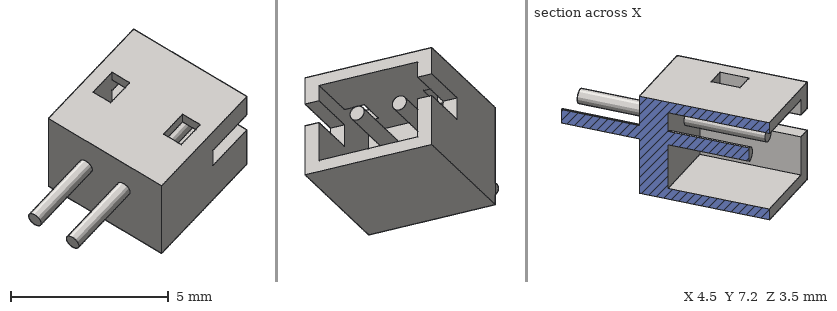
import cadquery as cq


body_width = 4.5
body_depth = 4.5
body_height = 3.5
side_wall = 0.5
top_wall = 0.4
bottom_wall = top_wall
rear_wall = 1.0

slot_depth = 1.8
slot_height = 0.78
slot_top_offset = 0.95

window_width = 0.7
window_length = 1.0
window_mouth_offset = slot_depth

pin_count = 2
pin_pitch = 1.5
pin_diameter = 0.5
pin_top_offset = 1.3
pin_tail = 2.7
pin_tip_recess = 0.7

cavity_width = body_width - 2 * side_wall
cavity_depth = body_depth - rear_wall
cavity_height = body_height - top_wall - bottom_wall


def box_at(x_min, y_min, z_min, width, depth, height):
    """Box placed by its lowest corner."""
    return cq.Workplane("XY").box(width, depth, height, centered=False).translate((x_min, y_min, z_min))


def make_housing():
    body = box_at(-body_width / 2, 0, 0, body_width, body_depth, body_height)
    cavity = box_at(-cavity_width / 2, rear_wall, bottom_wall, cavity_width, cavity_depth, cavity_height)
    return body.cut(cavity)


def cut_side_slots(housing):
    """One cut across the full width opens the slot in both side walls."""
    slot = box_at(
        -body_width / 2,
        body_depth - slot_depth,
        body_height - slot_top_offset - slot_height,
        body_width,
        slot_depth,
        slot_height,
    )
    return housing.cut(slot)


def cut_windows(housing):
    window_y_min = body_depth - window_mouth_offset - window_length
    window_z_min = body_height - top_wall
    for x_min in (-cavity_width / 2, cavity_width / 2 - window_width):
        window = box_at(x_min, window_y_min, window_z_min, window_width, window_length, top_wall)
        housing = housing.cut(window)
    return housing


def add_pins(housing):
    pin_length = pin_tail + body_depth - pin_tip_recess
    pin_z = body_height - pin_top_offset
    first_pin_x = -(pin_count - 1) * pin_pitch / 2
    for index in range(pin_count):
        start = cq.Vector(first_pin_x + index * pin_pitch, -pin_tail, pin_z)
        pin = cq.Solid.makeCylinder(pin_diameter / 2, pin_length, start, cq.Vector(0, 1, 0))
        housing = housing.union(cq.Workplane(obj=pin))
    return housing


housing = make_housing()
housing = cut_side_slots(housing)
housing = cut_windows(housing)
result = add_pins(housing)